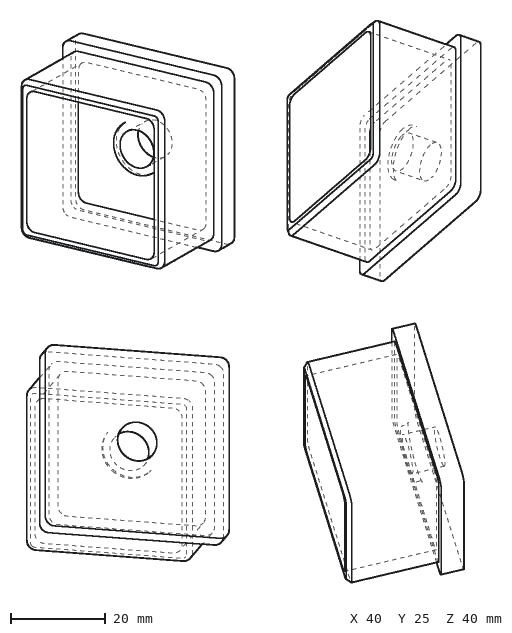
import cadquery as cq

flange_side = 40
flange_thickness = 5.0
corner_radius = 2

flange_overhang = 2
spigot_side = flange_side - 2 * flange_overhang
spigot_length = 20
rim_chamfer = 1.0

wall = 2
cavity_side = spigot_side - 2 * wall

boss_diameter = 12.2
boss_height = 2
boss_base_fillet = 1.0
boss_top_round = 0.5
hole_diameter = 8.5

overall_depth = flange_thickness + spigot_length


def square_prism(side, start, length):
    """Square prism with rounded corners, starting `start` in front of the back face."""
    return (
        cq.Workplane("XZ", origin=(0, -start, 0))
        .rect(side, side)
        .extrude(length)
        .edges("|Y")
        .fillet(corner_radius)
    )


def floor_boss():
    """Solid boss with a flared base and a rounded top edge, revolved about Y."""
    boss_radius = boss_diameter / 2
    floor_y = -flange_thickness
    top_y = floor_y - boss_height
    return (
        cq.Workplane("XY")
        .moveTo(0, floor_y)
        .lineTo(boss_radius + boss_base_fillet, floor_y)
        .radiusArc((boss_radius, floor_y - boss_base_fillet), -boss_base_fillet)
        .lineTo(boss_radius, top_y + boss_top_round)
        .radiusArc((boss_radius - boss_top_round, top_y), boss_top_round)
        .lineTo(0, top_y)
        .close()
        .revolve(360, (0, 0, 0), (0, 1, 0))
    )


flange = square_prism(flange_side, 0, flange_thickness)
spigot = square_prism(spigot_side, 0, overall_depth).faces("<Y").chamfer(rim_chamfer)
cavity = square_prism(cavity_side, flange_thickness, spigot_length)
hole = cq.Workplane("XZ").circle(hole_diameter / 2).extrude(overall_depth)

result = flange.union(spigot).cut(cavity).union(floor_boss()).cut(hole)